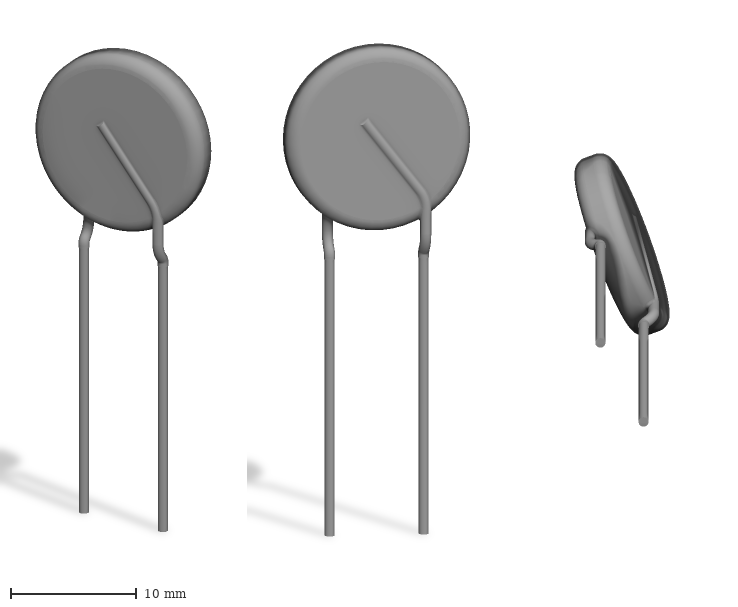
import cadquery as cq
import math

OVERALL_HEIGHT = 40.0
DISC_DIAMETER = 15.0
DISC_THICKNESS = 3.0
DISC_EDGE_RADIUS = 1.05

LEAD_DIAMETER = 0.8
LEAD_PITCH = 7.5
LEAD_OFFSET = LEAD_DIAMETER / 2

SLEEVE_DIAMETER = 0.9
SLEEVE_PROTRUSION = 0.2
SLEEVE_BLEND_RADIUS = 0.192
SLEEVE_TIP = (-1.25, 1.55)
SLEEVE_END_Z = -9.92
FACE_BEND_RADIUS = 2.6
FACE_BEND_Z = -5.8
CRIMP_TOP_Z = -7.75
CRIMP_ANGLE = math.radians(49)
CRIMP_UPPER_RADIUS = 1.9

LEAD_BOTTOM_Z = DISC_DIAMETER / 2 - OVERALL_HEIGHT
SLEEVE_X = LEAD_PITCH / 2
SLEEVE_Y = -(DISC_THICKNESS / 2 + SLEEVE_PROTRUSION - SLEEVE_DIAMETER / 2)


def turn_to_back(shape):
    """The back of the part is the front turned half a turn about Z."""
    return shape.rotate((0, 0, 0), (0, 0, 1), 180)


def make_disc():
    back_plane = cq.Workplane("XZ", origin=(0, DISC_THICKNESS / 2, 0))
    disc = back_plane.circle(DISC_DIAMETER / 2).extrude(DISC_THICKNESS)
    return disc.edges().fillet(DISC_EDGE_RADIUS)


def face_bend_angle():
    """Tilt from vertical of the sleeve line that runs from the tip tangent to the face bend."""
    bend_centre_x = SLEEVE_X - FACE_BEND_RADIUS
    across = bend_centre_x - SLEEVE_TIP[0]
    down = SLEEVE_TIP[1] - FACE_BEND_Z
    return math.atan2(across, down) + math.asin(FACE_BEND_RADIUS / math.hypot(across, down))


def make_sleeve_path():
    """Centre line of the front sleeve, from its tip on the disc face down to the bare lead."""
    tilt = face_bend_angle()

    def face_bend_point(angle):
        x = SLEEVE_X - FACE_BEND_RADIUS * (1 - math.cos(angle))
        return cq.Vector(x, SLEEVE_Y, FACE_BEND_Z + FACE_BEND_RADIUS * math.sin(angle))

    crimp_depth = -LEAD_OFFSET - SLEEVE_Y
    lower_radius = crimp_depth / (1 - math.cos(CRIMP_ANGLE)) - CRIMP_UPPER_RADIUS
    crimp_bottom_z = CRIMP_TOP_Z - (CRIMP_UPPER_RADIUS + lower_radius) * math.sin(CRIMP_ANGLE)

    def upper_crimp_point(angle):
        y = SLEEVE_Y + CRIMP_UPPER_RADIUS * (1 - math.cos(angle))
        return cq.Vector(SLEEVE_X, y, CRIMP_TOP_Z - CRIMP_UPPER_RADIUS * math.sin(angle))

    def lower_crimp_point(angle):
        y = -LEAD_OFFSET - lower_radius * (1 - math.cos(angle))
        return cq.Vector(SLEEVE_X, y, crimp_bottom_z + lower_radius * math.sin(angle))

    tip = cq.Vector(SLEEVE_TIP[0], SLEEVE_Y, SLEEVE_TIP[1])
    face_bend = [face_bend_point(angle) for angle in (tilt, tilt / 2, 0)]
    upper_crimp = [upper_crimp_point(angle) for angle in (0, CRIMP_ANGLE / 2, CRIMP_ANGLE)]
    lower_crimp = [lower_crimp_point(angle) for angle in (CRIMP_ANGLE, CRIMP_ANGLE / 2, 0)]
    return cq.Wire.assembleEdges([
        cq.Edge.makeLine(tip, face_bend[0]),
        cq.Edge.makeThreePointArc(*face_bend),
        cq.Edge.makeLine(face_bend[2], upper_crimp[0]),
        cq.Edge.makeThreePointArc(*upper_crimp),
        cq.Edge.makeThreePointArc(*lower_crimp),
        cq.Edge.makeLine(lower_crimp[2], cq.Vector(SLEEVE_X, -LEAD_OFFSET, SLEEVE_END_Z)),
    ])


def make_front_sleeve():
    tilt = face_bend_angle()
    tip_plane = cq.Plane(
        origin=(SLEEVE_TIP[0], SLEEVE_Y, SLEEVE_TIP[1]),
        xDir=(0, 1, 0),
        normal=(math.sin(tilt), 0, -math.cos(tilt)),
    )
    return cq.Workplane(tip_plane).circle(SLEEVE_DIAMETER / 2).sweep(make_sleeve_path())


def blend_sleeve_into_face(housing, face_y):
    """Fillet around the raised sleeve; tangent edges carry the fillet on around the bend."""
    reach = DISC_DIAMETER / 2
    face_slab = cq.selectors.BoxSelector(
        (-reach, face_y - SLEEVE_PROTRUSION / 2, -reach),
        (reach, face_y + SLEEVE_PROTRUSION / 2, reach),
        boundingbox=True,
    )
    return housing.edges("%LINE").edges(face_slab).fillet(SLEEVE_BLEND_RADIUS)


def make_housing():
    sleeve = make_front_sleeve()
    housing = make_disc().union(sleeve).union(turn_to_back(sleeve))
    for face_y in (-DISC_THICKNESS / 2, DISC_THICKNESS / 2):
        housing = blend_sleeve_into_face(housing, face_y)
    return housing


def make_lead(side):
    """Bare lead on side +1 (front, at +X) or side -1 (back, at -X)."""
    lead = cq.Workplane("XY", origin=(side * SLEEVE_X, -side * LEAD_OFFSET, LEAD_BOTTOM_Z))
    return lead.circle(LEAD_DIAMETER / 2).extrude(SLEEVE_END_Z - LEAD_BOTTOM_Z)


housing = make_housing()
leads = [make_lead(side) for side in (1, -1)]

result = cq.Compound.makeCompound([housing.val(), *[lead.val() for lead in leads]])